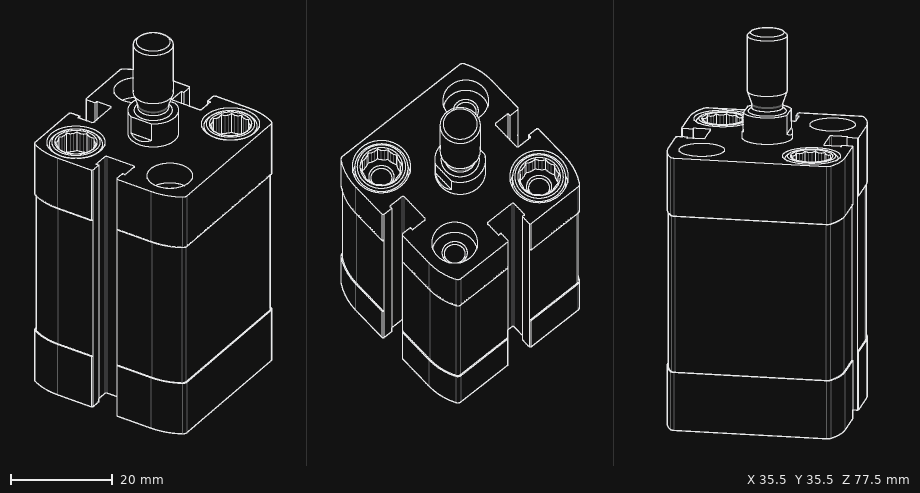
import cadquery as cq
import math

CAP_WIDTH = 35.5
HOUSING_HEIGHT = 56.0
CAP_HEIGHT = 11.95
BARREL_INSET = 0.2
CORNER_ARC_RADIUS = 12.65
CORNER_FILLET = 0.9

SLOT_OPENING = 5.6
SLOT_INNER_WIDTH = 6.8
SLOT_LIP_DEPTH = 2.3
SLOT_DEPTH = 5.8
SLOT_FLOOR_FILLET = 0.3
SLOT_ANGLES = (0, 90, 180)
LIP_CHAMFER = BARREL_INSET

HOLE_OFFSET = 11.0
HOLE_DIAMETER = 4.1
HOLE_MOUTH_DIAMETER = 5.0
COUNTERBORE_DEPTH = 4.65
PLAIN_BORE_DIAMETER = 9.0

SOCKET_BORE_DIAMETER = 11.5
SOCKET_DIAMETER = 10.5
SOCKET_CHAMFER = 0.5
TOOTH_COUNT = 12
TOOTH_ROOT_DIAMETER = 8.0
TOOTH_TIP_DIAMETER = 7.5
TOOTH_TIP_WIDTH = 0.7
SOCKET_MOUTH_DIAMETER = 8.4

TOTAL_HEIGHT = 77.55
ROD_DIAMETER = 10.0
ROD_SHOULDER_HEIGHT = 5.4
ROD_ACROSS_FLATS = 8.8
FLAT_LENGTH = 3.9
STUD_DIAMETER = 7.9
STUD_LENGTH = 12.0
STUD_CHAMFER = 0.6
NECK_DIAMETER = 6.1
NECK_LENGTH = 0.8
NECK_FLARE = 0.7
NECK_FILLET = 0.6


def cylinder(diameter, height):
    return cq.Workplane("XY").circle(diameter / 2).extrude(height)


def cone(bottom_diameter, top_diameter, height):
    return cq.Workplane(cq.Solid.makeCone(bottom_diameter / 2, top_diameter / 2, height))


def rounded_block(inset, height):
    """Square prism with broad corner arcs, its sides set in from the cap sides."""
    half = CAP_WIDTH / 2 - inset
    radius = CORNER_ARC_RADIUS - inset
    arc_center_y = half - radius

    def arc_y(x):
        return arc_center_y + math.sqrt(radius**2 - (x - HOLE_OFFSET) ** 2)

    mid_x = (HOLE_OFFSET + half) / 2
    mid_y = arc_y(mid_x)
    side_y = arc_y(half)
    block = (
        cq.Workplane("XY")
        .moveTo(-HOLE_OFFSET, half)
        .lineTo(HOLE_OFFSET, half)
        .threePointArc((mid_x, mid_y), (half, side_y))
        .lineTo(half, -side_y)
        .threePointArc((mid_x, -mid_y), (HOLE_OFFSET, -half))
        .lineTo(-HOLE_OFFSET, -half)
        .threePointArc((-mid_x, -mid_y), (-half, -side_y))
        .lineTo(-half, side_y)
        .threePointArc((-mid_x, mid_y), (-HOLE_OFFSET, half))
        .close()
        .extrude(height)
    )
    return block.edges("|Z").edges("<X or >X").fillet(CORNER_FILLET)


def slot_cutter():
    """T-slot on the +Y side, over the full housing height."""
    outer_y = CAP_WIDTH / 2
    lip_y = outer_y - SLOT_LIP_DEPTH
    floor_y = outer_y - SLOT_DEPTH
    opening = cq.Workplane("XY").box(
        SLOT_OPENING, SLOT_DEPTH, HOUSING_HEIGHT, centered=(True, False, False)
    )
    inner = cq.Workplane("XY").box(
        SLOT_INNER_WIDTH, lip_y - floor_y, HOUSING_HEIGHT, centered=(True, False, False)
    )
    inner = inner.edges("|Z and <Y").fillet(SLOT_FLOOR_FILLET)
    return opening.union(inner).translate((0, floor_y, 0))


def lip_chamfer_cutter():
    """Wedge that bevels both lips of the +Y slot down to the barrel surface."""
    outer_y = CAP_WIDTH / 2
    half_opening = SLOT_OPENING / 2
    return (
        cq.Workplane("XY")
        .moveTo(-half_opening - LIP_CHAMFER, outer_y)
        .lineTo(half_opening + LIP_CHAMFER, outer_y)
        .lineTo(half_opening, outer_y - LIP_CHAMFER)
        .lineTo(-half_opening, outer_y - LIP_CHAMFER)
        .close()
        .extrude(HOUSING_HEIGHT)
    )


def hole_cutter(bore_diameter):
    """Through hole with a bevelled mouth at the floor of a counterbore."""
    mouth_height = (HOLE_MOUTH_DIAMETER - HOLE_DIAMETER) / 2
    floor_z = HOUSING_HEIGHT - COUNTERBORE_DEPTH
    bore = cylinder(bore_diameter, COUNTERBORE_DEPTH).translate((0, 0, floor_z))
    mouth = cone(HOLE_DIAMETER, HOLE_MOUTH_DIAMETER, mouth_height)
    mouth = mouth.translate((0, 0, floor_z - mouth_height))
    return cylinder(HOLE_DIAMETER, HOUSING_HEIGHT).union(mouth).union(bore)


def tooth_outline():
    """Star of V-shaped roots with a flat tooth tip between neighbours."""
    root_radius = TOOTH_ROOT_DIAMETER / 2
    tip_radius = TOOTH_TIP_DIAMETER / 2
    pitch = 2 * math.pi / TOOTH_COUNT
    tip_half_angle = math.asin(TOOTH_TIP_WIDTH / 2 / tip_radius)
    points = []
    for tooth in range(TOOTH_COUNT):
        root_angle = tooth * pitch
        tip_angle = root_angle + pitch / 2
        for radius, angle in (
            (root_radius, root_angle),
            (tip_radius, tip_angle - tip_half_angle),
            (tip_radius, tip_angle + tip_half_angle),
        ):
            points.append((radius * math.cos(angle), radius * math.sin(angle)))
    return points


def splined_socket():
    """Ring with internal teeth that stands on a counterbore floor."""
    height = COUNTERBORE_DEPTH
    mouth_height = (SOCKET_MOUTH_DIAMETER - TOOTH_TIP_DIAMETER) / 2
    ring = cylinder(SOCKET_DIAMETER, height).faces(">Z").edges().chamfer(SOCKET_CHAMFER)
    teeth = cq.Workplane("XY").polyline(tooth_outline()).close().extrude(height)
    mouth = cone(TOOTH_TIP_DIAMETER, SOCKET_MOUTH_DIAMETER, mouth_height)
    mouth = mouth.translate((0, 0, height - mouth_height))
    socket = ring.cut(teeth).cut(mouth)
    return socket.translate((0, 0, HOUSING_HEIGHT - height))


def make_housing():
    cap = rounded_block(0, CAP_HEIGHT)
    for angle in SLOT_ANGLES:
        cap = cap.cut(lip_chamfer_cutter().rotate((0, 0, 0), (0, 0, 1), angle))
    housing = rounded_block(BARREL_INSET, HOUSING_HEIGHT)
    for cap_z in (0, HOUSING_HEIGHT - CAP_HEIGHT):
        housing = housing.union(cap.translate((0, 0, cap_z)))
    for angle in SLOT_ANGLES:
        housing = housing.cut(slot_cutter().rotate((0, 0, 0), (0, 0, 1), angle))
    for side in (-1, 1):
        plain_place = (side * HOLE_OFFSET, -side * HOLE_OFFSET, 0)
        socket_place = (side * HOLE_OFFSET, side * HOLE_OFFSET, 0)
        housing = housing.cut(hole_cutter(PLAIN_BORE_DIAMETER).translate(plain_place))
        housing = housing.cut(hole_cutter(SOCKET_BORE_DIAMETER).translate(socket_place))
        housing = housing.union(splined_socket().translate(socket_place))
    return housing


def wrench_flat_cutter():
    """Cuts the +Y wrench flat, with a 45 degree run-out at its lower end."""
    flat_y = ROD_ACROSS_FLATS / 2
    depth = ROD_DIAMETER / 2 - flat_y
    top_z = HOUSING_HEIGHT + ROD_SHOULDER_HEIGHT
    bottom_z = top_z - FLAT_LENGTH
    return (
        cq.Workplane("YZ")
        .moveTo(flat_y, top_z)
        .lineTo(flat_y, bottom_z)
        .lineTo(flat_y + depth, bottom_z - depth)
        .lineTo(flat_y + depth, top_z)
        .close()
        .extrude(ROD_DIAMETER / 2, both=True)
    )


def make_rod():
    """Turned rod that stands on the housing top: shoulder, neck and stud."""
    rod_radius = ROD_DIAMETER / 2
    neck_radius = NECK_DIAMETER / 2
    stud_radius = STUD_DIAMETER / 2
    shoulder_z = HOUSING_HEIGHT + ROD_SHOULDER_HEIGHT
    neck_z = shoulder_z + NECK_FLARE
    stud_z = TOTAL_HEIGHT - STUD_LENGTH
    neck_end = cq.selectors.BoxSelector(
        (-rod_radius, -rod_radius, neck_z + NECK_LENGTH / 2),
        (rod_radius, rod_radius, neck_z + NECK_LENGTH * 3 / 2),
    )
    rod = (
        cq.Workplane("XZ")
        .moveTo(0, HOUSING_HEIGHT)
        .lineTo(rod_radius, HOUSING_HEIGHT)
        .lineTo(rod_radius, shoulder_z)
        .lineTo(neck_radius + NECK_FLARE, shoulder_z)
        .lineTo(neck_radius, neck_z)
        .lineTo(neck_radius, neck_z + NECK_LENGTH)
        .lineTo(stud_radius, stud_z)
        .lineTo(stud_radius, TOTAL_HEIGHT - STUD_CHAMFER)
        .lineTo(stud_radius - STUD_CHAMFER, TOTAL_HEIGHT)
        .lineTo(0, TOTAL_HEIGHT)
        .close()
        .revolve(360, (0, 0, 0), (0, 1, 0))
    )
    rod = rod.edges(neck_end).fillet(NECK_FILLET)
    for angle in (0, 180):
        rod = rod.cut(wrench_flat_cutter().rotate((0, 0, 0), (0, 0, 1), angle))
    return rod


housing = make_housing()
rod = make_rod()

result = cq.Compound.makeCompound([housing.val(), rod.val()])